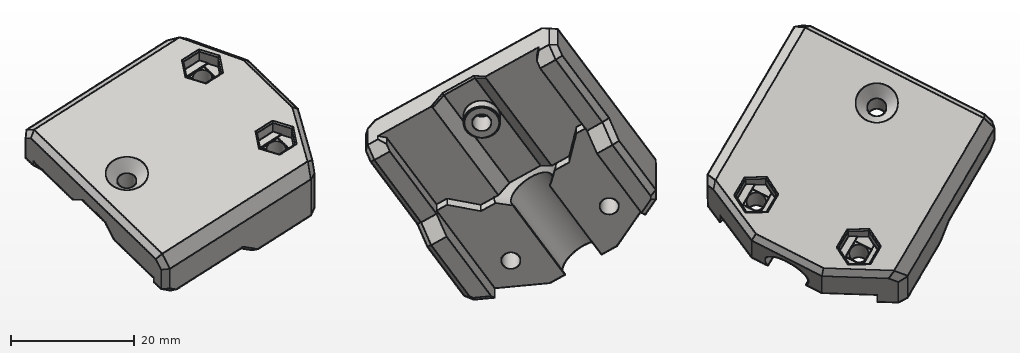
import cadquery as cq
import math

WIDTH = 37.0
LENGTH = 37.5
HEIGHT = 12.5
HALF_WIDTH = WIDTH / 2

TOP_BEVEL = 2.0
EDGE_CHAMFER = 1.0

FRONT_UNDERSIDE = 3.0
FRONT_SLOPE = 2.0
LEG_START = 16.0

BACK_FLAT_HALF = 6.5
CORNER_CUT = 6.0

LEG_INNER = 14.5
REAR_UNDERSIDE = 4.0
RECESS_CEILING = 6.0
ENTRY_CHAMFER = 1.0
WALL_OUTER_Y = 16.0
WALL_OUTER_HALF = 12.5
WALL_INNER_HALF = 8.5
WALL_INNER_Y = WALL_OUTER_Y + WALL_OUTER_HALF - WALL_INNER_HALF

GROOVE_BOTTOM_HALF = 5.15
GROOVE_TOP_HALF = 3.0
GROOVE_HEIGHT = 2.0
GROOVE_LIP = 0.3
CHANNEL_RADIUS = 4.0
FUNNEL_RADIUS = 6.0

SCREW_HOLE_DIA = 3.1
SCREW_Y = 7.0
COUNTERSINK_DIA = 6.9
COUNTERSINK_ANGLE = 90
POST_DIA = 6.0
POST_CHAMFER = 0.2

NUT_X = 9.5
NUT_Y = 30.5
NUT_FLATS = 5.7
NUT_CHAMFER = 0.25
NUT_DEPTH = 2.5
BRIDGE_STEP = 0.2


def make_shell():
    """Solid outer body with its bevelled top and chamfered outline."""
    side_profile = [
        (0, HEIGHT),
        (0, FRONT_UNDERSIDE + FRONT_SLOPE),
        (FRONT_SLOPE, FRONT_UNDERSIDE),
        (LEG_START, FRONT_UNDERSIDE),
        (LEG_START + FRONT_UNDERSIDE, 0),
        (LENGTH, 0),
        (LENGTH, HEIGHT),
    ]
    plan_outline = [
        (-HALF_WIDTH, 0),
        (HALF_WIDTH, 0),
        (HALF_WIDTH, LENGTH - CORNER_CUT),
        (BACK_FLAT_HALF, LENGTH),
        (-BACK_FLAT_HALF, LENGTH),
        (-HALF_WIDTH, LENGTH - CORNER_CUT),
    ]
    body = cq.Workplane("YZ").polyline(side_profile).close().extrude(HALF_WIDTH, both=True)
    body = body.intersect(cq.Workplane("XY").polyline(plan_outline).close().extrude(HEIGHT))
    body = body.edges("|Y and >Z").chamfer(TOP_BEVEL)

    bevel_edges = body.edges("|Y").edges(">Z or >>Z[-2]")
    back_corners = body.faces(">Y").edges("|Z")
    cross_edges = body.edges("|X").edges("not(>Z or >Y)")
    kept = bevel_edges.vals() + back_corners.vals() + cross_edges.vals()
    outline = [e for e in body.edges().vals() if not any(e.isSame(k) for k in kept)]
    return body.newObject(outline).chamfer(EDGE_CHAMFER)


def make_underside_space():
    """Space between the legs: a shallow rear part and a deeper front recess."""
    rear = cq.Workplane("XY").rect(2 * LEG_INNER, 2 * LENGTH).extrude(REAR_UNDERSIDE)
    half_outline = [
        (LEG_INNER + ENTRY_CHAMFER, 0),
        (LEG_INNER, ENTRY_CHAMFER),
        (LEG_INNER, WALL_OUTER_Y),
        (WALL_OUTER_HALF, WALL_OUTER_Y),
        (WALL_INNER_HALF, WALL_INNER_Y),
    ]
    mirrored = [(-x, y) for x, y in reversed(half_outline)]
    recess = cq.Workplane("XY").polyline(half_outline + mirrored).close().extrude(RECESS_CEILING)
    return rear.union(recess)


def groove_section(y, lip):
    """Trapezoid across the groove at depth y, raised by lip and half as much wider on each side."""
    top = RECESS_CEILING + GROOVE_HEIGHT + lip
    bottom_half = GROOVE_BOTTOM_HALF + lip / 2
    points = [
        (-bottom_half, RECESS_CEILING),
        (bottom_half, RECESS_CEILING),
        (GROOVE_TOP_HALF, top),
        (-GROOVE_TOP_HALF, top),
    ]
    return cq.Wire.makePolygon([cq.Vector(x, y, z) for x, z in points], close=True)


def make_cable_path():
    """Groove with a flared mouth, then a funnel into the round rear channel."""
    plain = groove_section(GROOVE_LIP, 0)
    mouth = cq.Solid.makeLoft([groove_section(0, GROOVE_LIP), plain], True)
    groove = cq.Solid.makeLoft([plain, groove_section(WALL_INNER_Y, 0)], True)
    axis = cq.Vector(0, 1, 0)
    start = cq.Vector(0, WALL_INNER_Y, RECESS_CEILING)
    funnel_length = FUNNEL_RADIUS - CHANNEL_RADIUS
    funnel = cq.Solid.makeCone(FUNNEL_RADIUS, CHANNEL_RADIUS, funnel_length, start, axis)
    channel = cq.Solid.makeCylinder(CHANNEL_RADIUS, LENGTH - WALL_INNER_Y, start, axis)
    return cq.Workplane(mouth).union(groove).union(funnel).union(channel)


def make_post():
    """Round post inside the groove, level with the recess ceiling."""
    post = cq.Workplane("XY", origin=(0, SCREW_Y, RECESS_CEILING)).circle(POST_DIA / 2)
    post = post.extrude(GROOVE_HEIGHT + GROOVE_LIP)
    return post.faces("<Z").chamfer(POST_CHAMFER)


def make_nut_pocket(x):
    """Hexagonal nut pocket with two bridging steps above the screw hole."""
    def hexagon(z, flats):
        """Hexagon centred on the hole, with corners pointing to the front and back."""
        corners_dia = flats / math.cos(math.pi / 6)
        return cq.Workplane("XY", origin=(x, NUT_Y, z)).transformed((0, 0, 90)).polygon(6, corners_dia)

    floor = HEIGHT - NUT_DEPTH
    wide_flats = NUT_FLATS + 2 * NUT_CHAMFER
    pocket = hexagon(floor, NUT_FLATS).extrude(NUT_DEPTH)
    lip = hexagon(HEIGHT, wide_flats).extrude(-NUT_CHAMFER, taper=45)
    slot = (
        cq.Workplane("XY", origin=(x, NUT_Y, floor))
        .rect(SCREW_HOLE_DIA, 2 * NUT_FLATS)
        .extrude(-BRIDGE_STEP)
        .intersect(hexagon(floor, NUT_FLATS).extrude(-BRIDGE_STEP))
    )
    square = (
        cq.Workplane("XY", origin=(x, NUT_Y, floor))
        .rect(SCREW_HOLE_DIA, SCREW_HOLE_DIA)
        .extrude(-2 * BRIDGE_STEP)
    )
    hole = cq.Workplane("XY", origin=(x, NUT_Y, 0)).circle(SCREW_HOLE_DIA / 2).extrude(HEIGHT)
    return pocket.union(lip).union(slot).union(square).union(hole)


result = make_shell().cut(make_underside_space()).cut(make_cable_path()).union(make_post())
result = (
    result.faces(">Z")
    .workplane(origin=(0, SCREW_Y, HEIGHT))
    .cskHole(SCREW_HOLE_DIA, COUNTERSINK_DIA, COUNTERSINK_ANGLE)
)
for nut_x in (-NUT_X, NUT_X):
    result = result.cut(make_nut_pocket(nut_x))